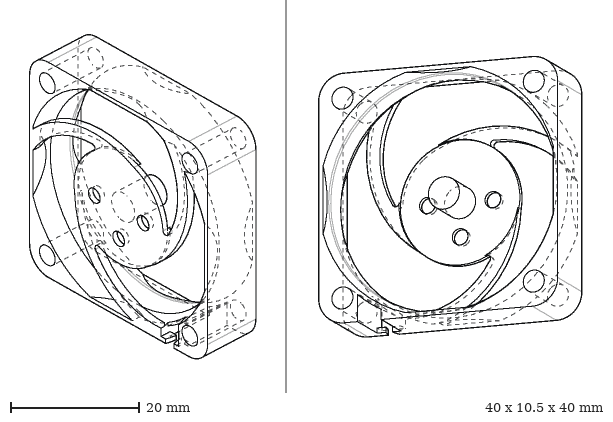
import cadquery as cq

side = 40
depth = 10.5
corner_radius = 4.25
mount_pitch = 32
mount_hole_diameter = 3.52
half_opening = 19.25

mouth_radius = 20.3
throat_radius = 19.0
throat_start = 3.52
throat_end = 7.8
flare_radius = 19.13
flare_start = 8.4
outlet_radius = 20

hub_radius = 10
hub_thickness = 1.0
arm_thickness = 1.52
arm_count = 3
arm_outer_radius = 19.3
arm_outer_center = (-5.6, -7.65)
arm_inner_radius = 15.5
arm_inner_center = (-6.05, -6.1)
arm_bottom = -5.0
arm_hub_end_x = 4.5
slot_end_radius = 0.6
slot_end_point = (-3.85, arm_thickness / 2, 9.25)
hub_hole_diameter = 2.6
hub_hole_offset = 5.5

post_radius = 2.6
post_end = 8

notch_left = 9.52
notch_right = 13.5
notch_front_depth = 1.55
notch_floor = -19.15
notch_top = -12
notch_rear_top = -15.7
shell_front_radius = 20.3
shell_rear_radius = 20.7
lip_depth = 2
lip_gap_front = 1.85
lip_gap_middle = 1.32
lip_gap_rear = 1.12
lip_gap_center = 11.5


def disc(radius, length, center=(0, 0), start=0):
    """Cylinder along +Y from Y = start, centred on (X, Z)."""
    return cq.Workplane("XZ", origin=(center[0], start, center[1])).circle(radius).extrude(-length)


def block(x_min, x_max, y_min, y_max, z_min, z_max):
    size = (x_max - x_min, y_max - y_min, z_max - z_min)
    return cq.Workplane("XY").box(*size, centered=False).translate((x_min, y_min, z_min))


def turned(points):
    """Solid of revolution about the Y axis from (radius, Y) points."""
    return cq.Workplane("XY").polyline(points).close().revolve(360, (0, 0, 0), (0, 1, 0))


def make_body():
    return (
        cq.Workplane("XZ").rect(side, side).extrude(-depth)
        .edges("|Y").fillet(corner_radius)
    )


def make_bore():
    flared = turned([
        (0, 0),
        (mouth_radius, 0),
        (throat_radius, throat_start),
        (throat_radius, throat_end),
        (flare_radius, flare_start),
        (outlet_radius, depth),
        (0, depth),
    ])
    return flared.intersect(block(-half_opening, half_opening, 0, depth, -half_opening, half_opening))


def make_arm():
    crescent = disc(arm_outer_radius, arm_thickness, arm_outer_center).cut(
        disc(arm_inner_radius, arm_thickness, arm_inner_center)
    )
    return crescent.intersect(block(-side, arm_hub_end_x, 0, arm_thickness, arm_bottom, side))


def make_spider():
    """Hub plate with three arms, the hub being thinner than the arms."""
    hub = disc(hub_radius, arm_thickness)
    slot_end = cq.selectors.NearestToPointSelector(slot_end_point)
    hub_with_arm = hub.union(make_arm()).edges("|Y").edges(slot_end).fillet(slot_end_radius)
    spider = hub
    for index in range(arm_count):
        spider = spider.union(hub_with_arm.rotate((0, 0, 0), (0, 1, 0), index * 360 / arm_count))
    spider = spider.cut(disc(hub_radius, arm_thickness, start=hub_thickness))
    return spider.intersect(make_body())


def make_lips():
    """Two retaining lips at the front of the notch, their gap narrowing to the rear."""
    gap = (
        cq.Workplane("XY", origin=(lip_gap_center, 0, -side / 2))
        .moveTo(-lip_gap_front / 2, 0)
        .lineTo(lip_gap_front / 2, 0)
        .threePointArc((lip_gap_middle / 2, lip_depth / 2), (lip_gap_rear / 2, lip_depth))
        .lineTo(-lip_gap_rear / 2, lip_depth)
        .threePointArc((-lip_gap_middle / 2, lip_depth / 2), (-lip_gap_front / 2, 0))
        .close().extrude(side / 2 + notch_floor)
    )
    return block(notch_left, notch_right, 0, lip_depth, -side / 2, notch_floor).cut(gap)


def make_notch():
    """Wire channel that leaves a thin duct shell behind its front part and the two lips."""
    front_part = block(notch_left, notch_right, 0, notch_front_depth, -side / 2, notch_top)
    rear_part = block(notch_left, notch_right, notch_front_depth, depth, -side / 2, notch_rear_top)
    shell = turned([
        (0, notch_front_depth),
        (shell_front_radius, notch_front_depth),
        (shell_rear_radius, depth),
        (0, depth),
    ])
    return front_part.union(rear_part.cut(shell)).cut(make_lips())


def make_holes():
    mount = mount_pitch / 2
    holes = cq.Workplane("XZ")
    for x in (-mount, mount):
        for z in (-mount, mount):
            holes = holes.union(disc(mount_hole_diameter / 2, depth, (x, z)))
    for center in ((-hub_hole_offset, 0), (hub_hole_offset, 0), (0, -hub_hole_offset)):
        holes = holes.union(disc(hub_hole_diameter / 2, hub_thickness, center))
    return holes


frame = make_body().cut(make_bore())
post = disc(post_radius, post_end - hub_thickness, start=hub_thickness)
result = frame.union(make_spider()).union(post).cut(make_notch()).cut(make_holes())